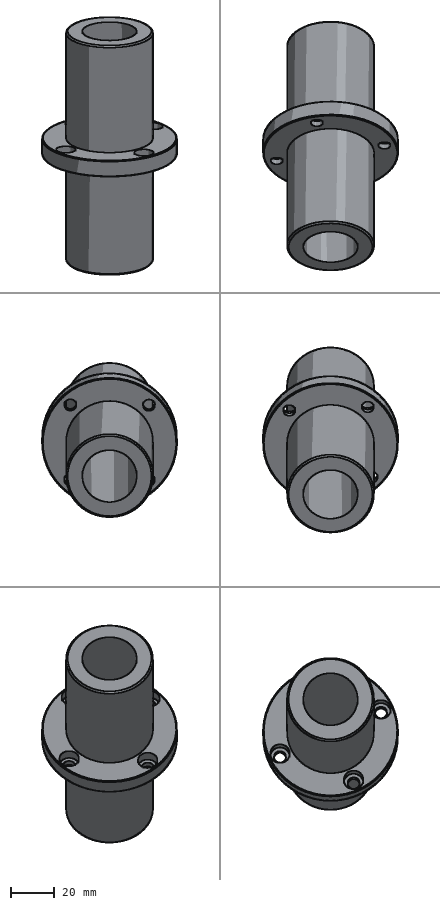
import cadquery as cq

length = 112.0
sleeve_diameter = 40.0
bore_diameter = 25.0
sleeve_chamfer = 0.8

flange_diameter = 62.0
flange_thickness = 8.0
flange_chamfer = 0.5

hole_count = 4
hole_circle_diameter = (flange_diameter + sleeve_diameter) / 2
hole_diameter = 5.5
counterbore_diameter = 9.0
counterbore_depth = 5.2


def chamfered_cylinder(diameter, height, chamfer):
    """Cylinder centred on the origin with both rims chamfered."""
    cylinder = cq.Workplane("XY").cylinder(height, diameter / 2)
    return cylinder.edges("%CIRCLE").chamfer(chamfer)


flange = (
    chamfered_cylinder(flange_diameter, flange_thickness, flange_chamfer)
    .faces(">Z")
    .workplane()
    .polarArray(hole_circle_diameter / 2, 0, 360, hole_count)
    .cboreHole(hole_diameter, counterbore_diameter, counterbore_depth)
)

sleeve = chamfered_cylinder(sleeve_diameter, length, sleeve_chamfer)
bore = cq.Workplane("XY").cylinder(length, bore_diameter / 2)

result = sleeve.union(flange).cut(bore)